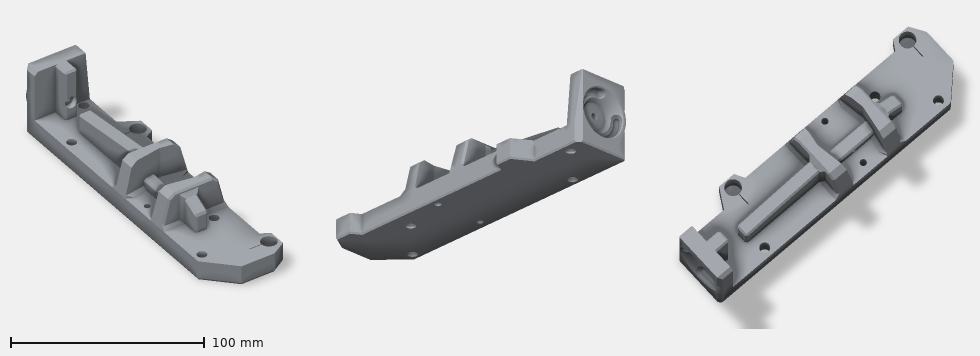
import cadquery as cq
import math

LENGTH = 175.5
DEPTH = 45.5
END_CORNER = (16.3, 16.1)
LEFT_TAB_ROOT = (33.4, 53.0)
LEFT_TAB_TIP = (39.8, 50.0)
RIGHT_TAB_ROOT_X = 156.5
RIGHT_TAB_TIP = (159.7, 170.3)
RIGHT_TAB_CORNER_Y = 36.9
HEIGHT = 42.0
PLATE_TOP = 11.8
REAR_EDGE = 40.0
WALL_REAR = 34.4
FOOT_HEIGHT = 1.0
FOOT_INSET = 0.5
FRONT_CORNER = (2.0, 2.1)
REAR_CORNER = 3.0

MOUNT_D = 5.6
MOUNT_HOLES = [(12.3, 28.5), (35.5, 5.1), (132.2, 28.5), (155.3, 5.1)]
SMALL_D = 3.7
SMALL_HOLES_Y = (5.8, 35.6)
SOCKET_D = 9.1
SOCKET_DEPTH = 10.5
SOCKET_Y = 40.2
SOCKETS_X = (44.8, 165.2)
SLIT_WIDTH = 0.5
SLIT_END_Y = 28.3

WALL_THICK = 9.0
WALL_TOP_REAR = 31.8
WALL_TOP_BEVEL = 2.1
AXIS_Y = 16.9
AXIS_Z = 22.0
SEAT_R = 14.4
SEAT_FLOOR_R = 7.7
SEAT_DEPTH = SEAT_R - SEAT_FLOOR_R
SEAT_RIM = 1.8
GROOVE_D = 3.3
GROOVE_SINK = 1.8
GROOVE_LIP_D = 6.0
GROOVE_LIP_SINK = -0.9
GROOVE_PATH_R = 11.8
GROOVE_SWEEP = 95.0
GROOVE_MIDDLES = (135.0, 315.0)
BORE_D = 3.3
BORE_BEVEL = 0.4
COUNTERBORE_D = 7.2
COUNTERBORE_DEPTH = 3.5

SINK = 2.6
RIB_WIDTH = 7.7
RIB_BEVEL = 1.0
BACK_RIB_END = 18.0
LONG_RIB_START = 29.8
LONG_RIB_LOW = 23.3
LONG_RIB_HIGH = 28.8
SHORT_RIB_END = 138.1
SHORT_RIB_LOW = 22.8
SHORT_RIB_HIGH = 27.9
MIDDLE_RIB_TOP = 17.5
PIN_D = 2.5
PIN_Z = 14.2

JAW_X = 104.1
JAW_TOP = 32.0
JAW_SHOULDER = 29.1
JAW_LEAN = 4.4
JAW_SHOULDER_RUN = 3.9
JAW_OUTER = 22.0
JAW_EDGE_BEVEL = 1.0
JAW_FOOT = 2.1
GUSSET = JAW_FOOT + JAW_EDGE_BEVEL
VEE_Y = 23.9
VEE_OFFSET = 15.6
VEE_SLOPE = 0.16
VEE_FOOT = 2.6
VEE_FOOT_HEIGHT = 1.8
VEE_FOOT_START = 4.5
VEE_FOOT_TIP = 0.7


def box(x0, x1, y0, y1, z0, z1):
    return cq.Workplane("XY").box(x1 - x0, y1 - y0, z1 - z0, centered=False).translate((x0, y0, z0))


def prism_along_y(points, y0, y1):
    """Extrude an XZ outline from y0 to y1."""
    return cq.Workplane("XZ", origin=(0, y0, 0)).polyline(points).close().extrude(y0 - y1)


def prism_along_x(points, x0, x1):
    """Extrude a YZ outline from x0 to x1."""
    return cq.Workplane("YZ", origin=(x0, 0, 0)).polyline(points).close().extrude(x1 - x0)


def make_plate():
    outline = [
        (0, 0), (LENGTH - END_CORNER[0], 0), (LENGTH, END_CORNER[1]), (LENGTH, RIGHT_TAB_CORNER_Y),
        (RIGHT_TAB_TIP[1], DEPTH), (RIGHT_TAB_TIP[0], DEPTH), (RIGHT_TAB_ROOT_X, REAR_EDGE),
        (LEFT_TAB_ROOT[1], REAR_EDGE), (LEFT_TAB_TIP[1], DEPTH), (LEFT_TAB_TIP[0], DEPTH),
        (LEFT_TAB_ROOT[0], WALL_REAR), (0, WALL_REAR),
    ]
    upper = cq.Workplane("XY", origin=(0, 0, FOOT_HEIGHT)).polyline(outline).close()
    upper = upper.extrude(PLATE_TOP - FOOT_HEIGHT)
    taper = math.degrees(math.atan(FOOT_INSET / FOOT_HEIGHT))
    lower = cq.Workplane("XY", origin=(0, 0, FOOT_HEIGHT)).polyline(outline).close()
    return upper.union(lower.extrude(-FOOT_HEIGHT, taper=taper))


def make_wall():
    profile = [
        (0, FOOT_HEIGHT), (WALL_REAR, FOOT_HEIGHT), (WALL_REAR, PLATE_TOP), (WALL_TOP_REAR, HEIGHT),
        (WALL_TOP_BEVEL, HEIGHT), (0, HEIGHT - WALL_TOP_BEVEL),
    ]
    return prism_along_x(profile, 0, WALL_THICK)


def seat_cylinder(diameter, x0, x1):
    """Cylinder on the seat axis from x0 to x1."""
    return cq.Workplane("YZ", origin=(x0, AXIS_Y, AXIS_Z)).circle(diameter / 2).extrude(x1 - x0)


def make_conical_seat():
    """Cone with a flat floor and a bore with a bevelled mouth that runs on through the back rib."""
    bore_r = BORE_D / 2
    radii = [
        (0, 0), (0, SEAT_R), (SEAT_DEPTH, SEAT_FLOOR_R), (SEAT_DEPTH, bore_r + BORE_BEVEL),
        (SEAT_DEPTH + BORE_BEVEL, bore_r), (BACK_RIB_END, bore_r), (BACK_RIB_END, 0),
    ]
    profile = [(x, AXIS_Z + radius) for x, radius in radii]
    seat = cq.Workplane("XZ", origin=(0, AXIS_Y, 0)).polyline(profile).close()
    return seat.revolve(360, (0, AXIS_Z, 0), (1, AXIS_Z, 0))


def make_groove(middle, diameter, sink):
    """Round-ended arc groove, sunk square to the cone and centred on an angle seen from the -X side."""
    shift = sink * math.sqrt(0.5)
    centre_x = SEAT_R - GROOVE_PATH_R + shift
    path_r = GROOVE_PATH_R + shift
    arc = cq.Workplane("XY", origin=(centre_x, path_r, 0)).circle(diameter / 2)
    groove = arc.revolve(GROOVE_SWEEP, (0, -path_r, 0), (1, -path_r, 0))
    ball = cq.Workplane("XY").sphere(diameter / 2).translate((centre_x, path_r, 0))
    far_ball = ball.rotate((0, 0, 0), (1, 0, 0), GROOVE_SWEEP)
    groove = groove.union(ball).union(far_ball)
    turn = 180.0 - middle - GROOVE_SWEEP / 2
    return groove.rotate((0, 0, 0), (1, 0, 0), turn).translate((0, AXIS_Y, AXIS_Z))


def make_rib(outline):
    """Rib with an XZ outline, bevelled all round; its sunken edges vanish in the part."""
    rib = prism_along_y(outline, AXIS_Y - RIB_WIDTH / 2, AXIS_Y + RIB_WIDTH / 2)
    return rib.edges().chamfer(RIB_BEVEL)


def make_sloped_rib(free_x, free_top, jaw_x, jaw_top):
    """Rib that rises from its free end and runs on into a jaw."""
    slope = (jaw_top - free_top) / (jaw_x - free_x)
    end_x = jaw_x + math.copysign(SINK, jaw_x - free_x)
    end_top = free_top + slope * (end_x - free_x)
    bottom = PLATE_TOP - SINK
    return make_rib([(free_x, bottom), (end_x, bottom), (end_x, end_top), (free_x, free_top)])


def gusset_section(spread, top):
    """YZ rectangle of a gusset, widened by spread at both sides and at the top."""
    half = RIB_WIDTH / 2 + spread
    return [
        (AXIS_Y - half, PLATE_TOP), (AXIS_Y + half, PLATE_TOP),
        (AXIS_Y + half, top + spread), (AXIS_Y - half, top + spread),
    ]


def make_gusset(side, top):
    """45 degree flare that joins a rib to the outer face of the jaw on the given side (-1 or 1)."""
    start = JAW_X + side * (JAW_OUTER + JAW_FOOT)
    flare = cq.Workplane("YZ", origin=(start, 0, 0)).polyline(gusset_section(0, top)).close()
    flare = flare.workplane(offset=-side * GUSSET).polyline(gusset_section(GUSSET, top)).close()
    return flare.loft(ruled=True)


def make_jaw_block():
    """Both jaws and the gap between them as one block with sloping ends and bevelled outer edges."""
    top_y = JAW_LEAN + JAW_SHOULDER_RUN
    profile = [
        (0, PLATE_TOP), (JAW_LEAN, JAW_SHOULDER), (top_y, JAW_TOP),
        (REAR_EDGE - top_y, JAW_TOP), (REAR_EDGE - JAW_LEAN, JAW_SHOULDER), (REAR_EDGE, PLATE_TOP),
    ]
    block = prism_along_x(profile, JAW_X - JAW_OUTER, JAW_X + JAW_OUTER)
    block = block.faces("<X or >X").edges("not <Z").chamfer(JAW_EDGE_BEVEL)
    reach = JAW_OUTER + JAW_FOOT
    foot_profile = [
        (JAW_X - reach, PLATE_TOP), (JAW_X + reach, PLATE_TOP),
        (JAW_X + JAW_OUTER - JAW_EDGE_BEVEL, PLATE_TOP + GUSSET),
        (JAW_X - JAW_OUTER + JAW_EDGE_BEVEL, PLATE_TOP + GUSSET),
    ]
    foot = prism_along_y(foot_profile, 0, REAR_EDGE)
    return block.union(foot.intersect(prism_along_x(profile, JAW_X - reach, JAW_X + reach)))


def vee_outline(foot, foot_start):
    """Plan outline of the gap between the jaws, narrowed by a foot that fades out at both ends."""
    stations = [
        (0, 0), (foot_start, foot), (VEE_Y, foot), (REAR_EDGE - foot_start, foot), (REAR_EDGE, 0),
    ]
    right = [(VEE_OFFSET - VEE_SLOPE * abs(y - VEE_Y) - narrowing, y) for y, narrowing in stations]
    left = [(-offset, y) for offset, y in reversed(right)]
    return [(JAW_X + offset, y) for offset, y in right + left]


def make_vee_gap():
    base = vee_outline(VEE_FOOT, VEE_FOOT_START)
    opening = vee_outline(0, VEE_FOOT_TIP)
    foot_top = PLATE_TOP + VEE_FOOT_HEIGHT
    lower = cq.Workplane("XY", origin=(0, 0, PLATE_TOP)).polyline(base).close()
    lower = lower.workplane(offset=VEE_FOOT_HEIGHT).polyline(opening).close().loft(ruled=True)
    upper = cq.Workplane("XY", origin=(0, 0, foot_top)).polyline(opening).close()
    return lower.union(upper.extrude(JAW_TOP - foot_top))


def make_socket(x):
    """Blind round socket with a narrow slit running from it toward the front."""
    floor = PLATE_TOP - SOCKET_DEPTH
    socket = cq.Workplane("XY", origin=(x, SOCKET_Y, floor)).circle(SOCKET_D / 2).extrude(SOCKET_DEPTH)
    slit = box(x - SLIT_WIDTH / 2, x + SLIT_WIDTH / 2, SLIT_END_Y, SOCKET_Y, floor, PLATE_TOP)
    return socket.union(slit)


def make_corner_wedge(corner, along_x, along_y):
    """Wedge for a vertical bevel; the last two values are signed lengths along the two sides."""
    x, y = corner
    wedge = cq.Workplane("XY").polyline([(x, y), (x + along_x, y), (x, y + along_y)]).close()
    return wedge.extrude(HEIGHT)


part = make_plate().union(make_wall())
rim = seat_cylinder(2 * (SEAT_R + SEAT_RIM), 0, FRONT_CORNER[0]).intersect(part)
part = part.cut(make_corner_wedge((0, 0), FRONT_CORNER[0], FRONT_CORNER[1]))
part = part.union(rim)
part = part.cut(make_corner_wedge((0, WALL_REAR), REAR_CORNER, -REAR_CORNER))

part = part.union(make_jaw_block().cut(make_vee_gap()))

jaw_left = JAW_X - JAW_OUTER - JAW_FOOT
jaw_right = JAW_X + JAW_OUTER + JAW_FOOT
part = part.union(make_sloped_rib(LONG_RIB_START, LONG_RIB_LOW, jaw_left, LONG_RIB_HIGH))
part = part.union(make_sloped_rib(SHORT_RIB_END, SHORT_RIB_LOW, jaw_right, SHORT_RIB_HIGH))
part = part.union(make_gusset(-1, LONG_RIB_HIGH))
part = part.union(make_gusset(1, SHORT_RIB_HIGH))
rib_base = PLATE_TOP - SINK
middle_reach = VEE_OFFSET + SINK
part = part.union(make_rib([
    (JAW_X - middle_reach, rib_base), (JAW_X + middle_reach, rib_base),
    (JAW_X + middle_reach, MIDDLE_RIB_TOP), (JAW_X - middle_reach, MIDDLE_RIB_TOP),
]))
back_rib_start = WALL_THICK - SINK
part = part.union(make_rib([
    (back_rib_start, rib_base), (BACK_RIB_END, rib_base), (BACK_RIB_END, HEIGHT), (back_rib_start, HEIGHT),
]))

part = part.cut(make_conical_seat())
for middle in GROOVE_MIDDLES:
    part = part.cut(make_groove(middle, GROOVE_LIP_D, GROOVE_LIP_SINK))
    part = part.cut(make_groove(middle, GROOVE_D, GROOVE_SINK))
part = part.cut(seat_cylinder(COUNTERBORE_D, BACK_RIB_END - COUNTERBORE_DEPTH, BACK_RIB_END))

for x, y in MOUNT_HOLES:
    part = part.cut(cq.Workplane("XY", origin=(x, y, 0)).circle(MOUNT_D / 2).extrude(PLATE_TOP))
for y in SMALL_HOLES_Y:
    part = part.cut(cq.Workplane("XY", origin=(JAW_X, y, 0)).circle(SMALL_D / 2).extrude(PLATE_TOP))
for x in SOCKETS_X:
    part = part.cut(make_socket(x))
pin_start = AXIS_Y - RIB_WIDTH / 2
pin_hole = cq.Workplane("XZ", origin=(JAW_X, pin_start, PIN_Z)).circle(PIN_D / 2).extrude(-RIB_WIDTH)
part = part.cut(pin_hole)

result = part